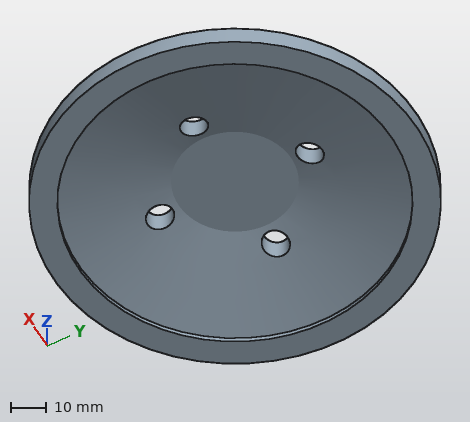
import cadquery as cq

outer_diameter = 116.0
height = 16.0
rim_height = 6.0
top_diameter = 36.0

recess_diameter = 100.0
wall_height = 6.5

hole_diameter = 8.0
hole_circle_diameter = 48.0
hole_count = 4


cone_slope = (height - rim_height) / ((outer_diameter - top_diameter) / 2)


def coned_disc(diameter, edge_height, flat_diameter, center_height):
    """Disc with a straight edge, rising as a cone to a flat top."""
    profile = (
        cq.Workplane("XZ")
        .moveTo(0, 0)
        .lineTo(diameter / 2, 0)
        .lineTo(diameter / 2, edge_height)
        .lineTo(flat_diameter / 2, center_height)
        .lineTo(0, center_height)
        .close()
    )
    return profile.revolve(360, (0, 0, 0), (0, 1, 0))


def recess():
    """Hollow under the cover, leaving a wall of even height below the cone."""
    center_height = height - wall_height
    edge_height = center_height - cone_slope * (recess_diameter - top_diameter) / 2
    return coned_disc(recess_diameter, edge_height, top_diameter, center_height)


def bolt_holes():
    """Vertical through holes evenly spaced on the hole circle."""
    return (
        cq.Workplane("XY")
        .polarArray(hole_circle_diameter / 2, 0, 360, hole_count)
        .circle(hole_diameter / 2)
        .extrude(height)
    )


cover = coned_disc(outer_diameter, rim_height, top_diameter, height)
result = cover.cut(recess()).cut(bolt_holes())